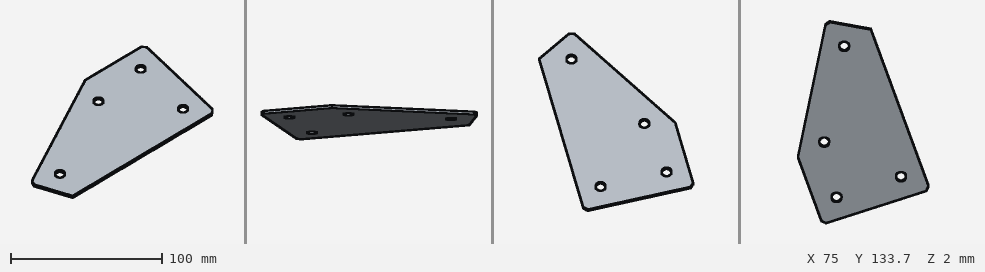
import cadquery as cq
import math

width = 75.0
thickness = 2.0
left_edge_length = 50.0
corner_chamfer = 2.5

arm_angle = math.radians(30)
arm_width = 30.0

hole_diameter = 6.6
edge_distance = 15.0
arm_hole_spacing = 69.0

along = cq.Vector(math.sin(arm_angle), -math.cos(arm_angle))
across = cq.Vector(math.cos(arm_angle), math.sin(arm_angle))

arm_length = (width - arm_width * across.x) / along.x


def arm_point(distance_along, distance_across):
    """Return the XY point at these distances from the bend, measured along and across the arm."""
    point = cq.Vector(0, -left_edge_length) + along * distance_along + across * distance_across
    return (point.x, point.y)


def make_plate():
    outline = [
        (0, -corner_chamfer),
        (corner_chamfer, 0),
        (width - corner_chamfer, 0),
        (width, -corner_chamfer),
        arm_point(arm_length, arm_width),
        arm_point(arm_length, corner_chamfer),
        arm_point(arm_length - corner_chamfer, 0),
        arm_point(0, 0),
    ]
    return cq.Workplane("XY").polyline(outline).close().extrude(thickness)


def drill_holes(plate):
    lower_hole_along = arm_length - edge_distance
    centres = [
        (edge_distance, -edge_distance),
        (width - edge_distance, -edge_distance),
        arm_point(lower_hole_along - arm_hole_spacing, edge_distance),
        arm_point(lower_hole_along, edge_distance),
    ]
    return plate.faces(">Z").workplane(origin=(0, 0, 0)).pushPoints(centres).hole(hole_diameter)


result = drill_holes(make_plate())